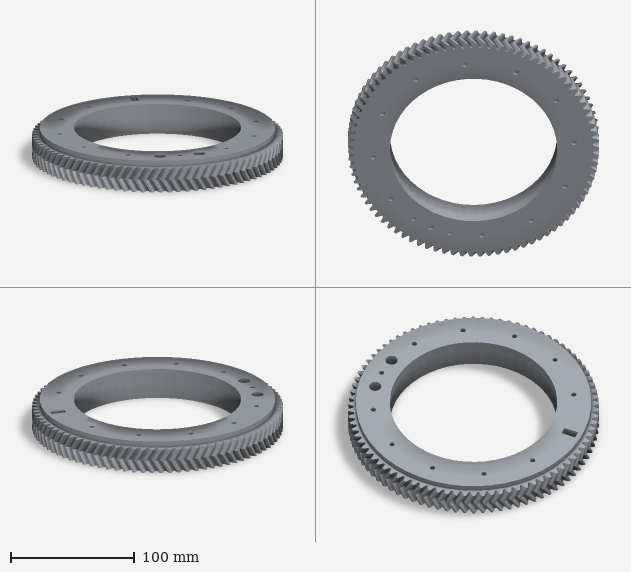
import cadquery as cq
import math

outer_diameter = 202.5
tooth_count = 86
helix_angle = math.radians(30)
normal_pressure_angle = math.radians(20)
flank_points = 4

gear_thickness = 10.0
collar_thickness = 5.0
collar_diameter = 190.0
bore_diameter = 135.0

seam_height = gear_thickness
shoulder_height = 2 * gear_thickness
total_height = shoulder_height + collar_thickness

screw_diameter = 4.3
screw_places = 12
screw_circle_radius = (collar_diameter + bore_diameter) / 4
pattern_angle = -180 / tooth_count

counterbore_diameter = 10.0
bolt_diameter = 3.8
bolt_offset_angle = 11.5

slot_outer_radius = 91.0
slot_length = 12.1
upper_slot_width = 6.0
lower_slot_width = 4.0
wedge_inner_radius = 83.2
wedge_top_length = 3.0
wedge_slope = math.radians(60)

normal_module = outer_diameter / (tooth_count / math.cos(helix_angle) + 2)
addendum = normal_module
dedendum = 1.25 * normal_module
tip_radius = outer_diameter / 2
pitch_radius = tip_radius - addendum
root_radius = pitch_radius - dedendum
pressure_angle = math.atan(math.tan(normal_pressure_angle) / math.cos(helix_angle))
base_radius = pitch_radius * math.cos(pressure_angle)
tooth_pitch = 2 * math.pi / tooth_count
layer_twist = math.degrees(gear_thickness * math.tan(helix_angle) / pitch_radius)


def involute(angle):
    return math.tan(angle) - angle


def half_tooth_angle(radius):
    """Half the angle that one tooth takes up at the given radius."""
    local_pressure_angle = math.acos(base_radius / radius)
    return tooth_pitch / 4 + involute(pressure_angle) - involute(local_pressure_angle)


def polar(radius, angle):
    return (radius * math.cos(angle), radius * math.sin(angle))


def tooth_outline():
    """Closed outline of all teeth, with one tooth centred on +X."""
    radius_step = (tip_radius - root_radius) / (flank_points - 1)
    radii = [root_radius + i * radius_step for i in range(flank_points)]
    outline = cq.Workplane("XY").moveTo(*polar(root_radius, -half_tooth_angle(root_radius)))
    for tooth in range(tooth_count):
        middle = tooth * tooth_pitch
        rising = [polar(r, middle - half_tooth_angle(r)) for r in radii]
        falling = [polar(r, middle + half_tooth_angle(r)) for r in reversed(radii)]
        next_start = polar(root_radius, middle + tooth_pitch - half_tooth_angle(root_radius))
        outline = outline.spline(rising[1:], includeCurrent=True)
        outline = outline.threePointArc(polar(tip_radius, middle), falling[0])
        outline = outline.spline(falling[1:], includeCurrent=True)
        if tooth < tooth_count - 1:
            outline = outline.threePointArc(polar(root_radius, middle + tooth_pitch / 2), next_start)
    closing_middle = polar(root_radius, -tooth_pitch / 2)
    closing_end = polar(root_radius, -half_tooth_angle(root_radius))
    return outline.threePointArc(closing_middle, closing_end).close()


def cylinder(diameter, bottom, top):
    return cq.Workplane("XY").workplane(offset=bottom).circle(diameter / 2).extrude(top - bottom)


def at_pattern_angle(shape, angle=0.0):
    """Turn a shape about the ring's axis to an angle of the hole pattern."""
    return shape.rotate((0, 0, 0), (0, 0, 1), pattern_angle + angle)


def hole(diameter, angle, bottom, top):
    on_x_axis = cylinder(diameter, bottom, top).translate((screw_circle_radius, 0, 0))
    return at_pattern_angle(on_x_axis, angle)


def radial_slot(width, bottom, top):
    middle_radius = slot_outer_radius - slot_length / 2
    box = cq.Workplane("XY").box(slot_length, width, top - bottom, centered=(True, True, False))
    return at_pattern_angle(box.translate((-middle_radius, 0, bottom)))


def shared_cutters():
    """The bore and the screw holes, which pass through both gear layers."""
    cutters = [cylinder(bore_diameter, 0, total_height)]
    for place in range(screw_places):
        if place != screw_places // 2:
            cutters.append(hole(screw_diameter, place * 360 / screw_places, 0, total_height))
    return cutters


def cut_all(body, cutters):
    """Cut every cutter from the body in one step."""
    return body.cut(cq.Workplane(cq.Compound.makeCompound([cutter.val() for cutter in cutters])))


def make_lower_gear():
    """Lower half of the herringbone, with the small bolt holes and the narrow slot."""
    teeth = tooth_outline().twistExtrude(gear_thickness, -layer_twist)
    body = teeth.rotate((0, 0, 0), (0, 0, 1), layer_twist)
    cutters = shared_cutters()
    for angle in (-bolt_offset_angle, bolt_offset_angle):
        cutters.append(hole(bolt_diameter, angle, 0, seam_height))
    cutters.append(radial_slot(lower_slot_width, 0, seam_height))
    return cut_all(body, cutters)


def make_upper_gear():
    """Upper half of the herringbone with its collar, the wide bolt holes and the wide slot."""
    teeth = tooth_outline().twistExtrude(gear_thickness, layer_twist)
    body = teeth.translate((0, 0, seam_height))
    body = body.union(cylinder(collar_diameter, shoulder_height, total_height))
    cutters = shared_cutters()
    for angle in (-bolt_offset_angle, bolt_offset_angle):
        cutters.append(hole(counterbore_diameter, angle, seam_height, total_height))
    cutters.append(radial_slot(upper_slot_width, seam_height, total_height))
    return cut_all(body, cutters)


def make_wedge():
    """Insert in the outer part of the narrow slot, sloping down towards the slot's outer end."""
    top_outer_radius = wedge_inner_radius + wedge_top_length
    end_height = seam_height - (slot_outer_radius - top_outer_radius) * math.tan(wedge_slope)
    profile = [
        (-wedge_inner_radius, 0),
        (-wedge_inner_radius, seam_height),
        (-top_outer_radius, seam_height),
        (-slot_outer_radius, end_height),
        (-slot_outer_radius, 0),
    ]
    wedge = cq.Workplane("XZ").polyline(profile).close().extrude(lower_slot_width / 2, both=True)
    return at_pattern_angle(wedge)


lower_gear = make_lower_gear()
upper_gear = make_upper_gear()
wedge = make_wedge()

bodies = [lower_gear, upper_gear, wedge]
result = cq.Compound.makeCompound([body.solids().val() for body in bodies])